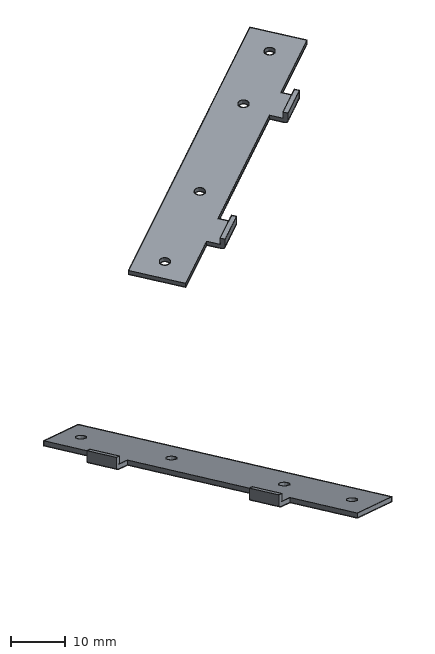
import cadquery as cq

strip_length = 69.5
strip_width = 11.0
thickness = 1.0

overall_width = 14.5
tab_height = 2.5
tab_width = 6.5
tab_pitch = 36.0
first_tab_from_end = 18.2
bend_radius = 0.7

hole_diameter = 2.0
first_hole_from_end = 5.0
hole_spacings = [15.0, 25.0, 20.0]

far_end = strip_length / 2
first_tab_y = far_end - first_tab_from_end
tab_centres = [first_tab_y, first_tab_y - tab_pitch]

hole_centres = [far_end - first_hole_from_end]
for spacing in hole_spacings:
    hole_centres.append(hole_centres[-1] - spacing)


def make_strip():
    """Rectangular strip with one long edge at X = 0."""
    return cq.Workplane("XY").box(strip_width, strip_length, thickness, centered=(False, True, False))


def make_tab(centre_y):
    """L-shaped tab, overlapping the strip and rounded on its outer bend."""
    profile = (
        cq.Workplane("XZ", origin=(0, centre_y, 0))
        .moveTo(strip_width / 2, 0)
        .lineTo(overall_width - bend_radius, 0)
        .radiusArc((overall_width, bend_radius), -bend_radius)
        .lineTo(overall_width, tab_height)
        .lineTo(overall_width - thickness, tab_height)
        .lineTo(overall_width - thickness, thickness)
        .lineTo(strip_width / 2, thickness)
        .close()
    )
    return profile.extrude(tab_width / 2, both=True)


def make_holes():
    """Cylinders that cut the mounting holes through the strip."""
    centres = [(strip_width / 2, y) for y in hole_centres]
    return cq.Workplane("XY").pushPoints(centres).circle(hole_diameter / 2).extrude(thickness)


plate = make_strip()
for tab_y in tab_centres:
    plate = plate.union(make_tab(tab_y))

result = plate.cut(make_holes()).clean()